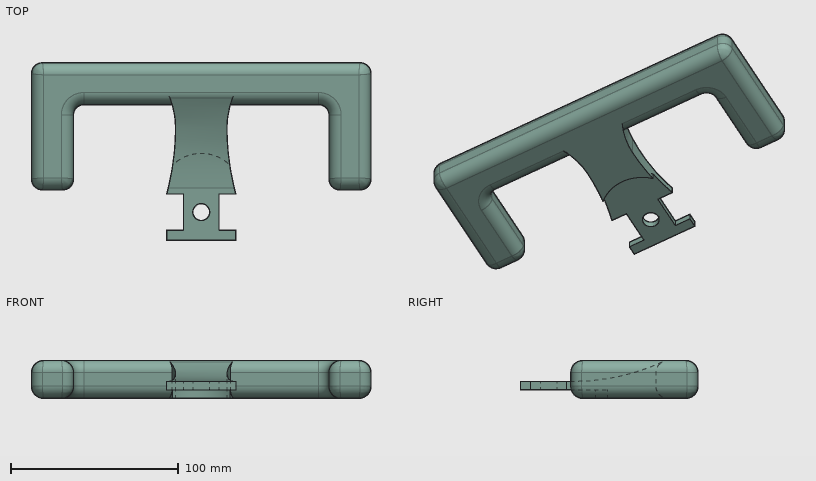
import cadquery as cq
import math

handle_width = 203.2
handle_depth = 76.2
handle_height = 22.8
bar_width = 25.2
outer_corner_radius = 6.5
inner_corner_radius = 6.0
edge_radius = 7.3
bar_front = -bar_width

tongue_front = -106.3
plate_bottom = 5.0
plate_thickness = 5.0
plate_top = plate_bottom + plate_thickness
foot_half_width = 20.7
foot_length = 6.0
stem_half_width = 10.8
stem_length = 21.5
hole_diameter = 10.0
foot_back = tongue_front + foot_length
shoulder_front = foot_back + stem_length

neck_root = bar_front + edge_radius
neck_root_half_width = 20.1
waist_y = -38.8
waist_half_width = 15.5
neck_embed = 4.0
shoulder_length = 3.7
crease_y = shoulder_front + shoulder_length
ramp_end_y = -20.7
relief_radius = 24.4


def make_handle():
    """U-shaped bar with every edge rounded."""
    outer_x = handle_width / 2
    inner_x = outer_x - bar_width
    blank = cq.Workplane("XY").polyline([
        (-outer_x, 0),
        (outer_x, 0),
        (outer_x, -handle_depth),
        (inner_x, -handle_depth),
        (inner_x, bar_front),
        (-inner_x, bar_front),
        (-inner_x, -handle_depth),
        (-outer_x, -handle_depth),
    ]).close().extrude(handle_height)
    inside_corners = [(-inner_x, bar_front), (inner_x, bar_front)]
    for x, y in inside_corners:
        corner = cq.selectors.NearestToPointSelector((x, y, handle_height / 2))
        blank = blank.edges(corner).fillet(inner_corner_radius)
    ends = blank.edges("|Z").edges(">Y or <Y").fillet(outer_corner_radius)
    return ends.faces(">Z or <Z").edges().fillet(edge_radius)


def tangent_arc_middle(tangent_y, tangent_x, end_y, end_x):
    """Midpoint (x, y) of an arc that starts parallel to Y at the tangent point."""
    run = end_y - tangent_y
    rise = end_x - tangent_x
    radius = (run**2 + rise**2) / (2 * rise)
    half_angle = math.asin(run / radius) / 2
    return tangent_x + radius * (1 - math.cos(half_angle)), tangent_y + radius * math.sin(half_angle)


def make_neck_block(height):
    """Plan shape of the neck, each flank made of two arcs that meet smoothly at the waist."""
    root_mid_x, root_mid_y = tangent_arc_middle(waist_y, waist_half_width, neck_root, neck_root_half_width)
    front_mid_x, front_mid_y = tangent_arc_middle(
        waist_y, waist_half_width, shoulder_front, foot_half_width
    )
    return (
        cq.Workplane("XY")
        .moveTo(-foot_half_width, shoulder_front)
        .lineTo(foot_half_width, shoulder_front)
        .threePointArc((front_mid_x, front_mid_y), (waist_half_width, waist_y))
        .threePointArc((root_mid_x, root_mid_y), (neck_root_half_width, neck_root))
        .lineTo(neck_root_half_width, neck_root + neck_embed)
        .lineTo(-neck_root_half_width, neck_root + neck_embed)
        .lineTo(-neck_root_half_width, neck_root)
        .threePointArc((-root_mid_x, root_mid_y), (-waist_half_width, waist_y))
        .threePointArc((-front_mid_x, front_mid_y), (-foot_half_width, shoulder_front))
        .close()
        .extrude(height)
    )


def make_neck():
    """Waisted block with a concave ramp on top and a round relief under the plate."""
    from_edge_start = neck_root - ramp_end_y
    ramp_end_z = handle_height - edge_radius + math.sqrt(edge_radius**2 - from_edge_start**2)
    ramp_mid_z, ramp_mid_y = tangent_arc_middle(crease_y, plate_top, ramp_end_y, ramp_end_z)
    side_profile = (
        cq.Workplane("YZ")
        .moveTo(shoulder_front, 0)
        .lineTo(shoulder_front, plate_top)
        .lineTo(crease_y, plate_top)
        .threePointArc((ramp_mid_y, ramp_mid_z), (ramp_end_y, ramp_end_z))
        .lineTo(neck_root + neck_embed, ramp_end_z)
        .lineTo(neck_root + neck_embed, 0)
        .close()
        .extrude(handle_width / 2, both=True)
    )
    relief = (
        cq.Workplane("XY")
        .center(0, shoulder_front)
        .circle(relief_radius)
        .extrude(plate_bottom)
    )
    return make_neck_block(handle_height).intersect(side_profile).cut(relief)


def make_tongue():
    """Stem with a cross foot and a hole half way along the stem."""
    plane = cq.Workplane("XY", origin=(0, 0, plate_bottom))
    foot = (
        plane.center(0, tongue_front + foot_length / 2)
        .rect(2 * foot_half_width, foot_length)
        .extrude(plate_thickness)
    )
    stem = (
        plane.center(0, foot_back + stem_length / 2)
        .rect(2 * stem_half_width, stem_length)
        .extrude(plate_thickness)
        .faces(">Z")
        .workplane()
        .hole(hole_diameter)
    )
    return foot.union(stem)


result = make_handle().union(make_neck()).union(make_tongue())